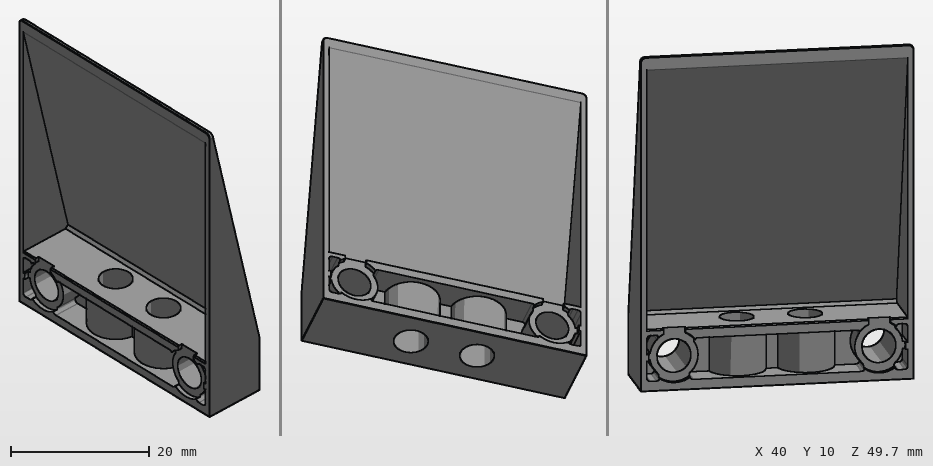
import cadquery as cq
import math

width = 40.0
depth = 10.0
height = 49.7
heel_height = 9.2
top_thickness = 0.6
top_corner_radius = 0.75
edge_chamfer = 0.075
side_wall = 0.9
panel_thickness = 1.0

shelf_top = 9.2
shelf_front_chamfer = 0.2
cavity_back_chamfer = 0.5

floor_top = 1.5
corner_ceiling = 8.3
middle_ceiling = 7.65
cell_depth = 4.3
cell_fillet = 0.5

post_x = 15.0
post_z = 4.95
post_radius = 3.55
post_bore_radius = 2.5
rib_thickness = 1.05

recess_radius = 3.85
recess_neck_width = 3.25
recess_depth = 0.75

tube_x = 5.0
tube_y = 5.0
tube_radius = 4.2
tube_bore_radius = 2.5

inner_half_width = width / 2 - side_wall
lean = (depth - top_thickness) / (height - heel_height)
panel_run = panel_thickness * math.hypot(1, lean)


def block(x_min, x_max, y_max, z_min, z_max):
    """Box that starts at the front plane Y = 0."""
    box = cq.Workplane("XY").box(x_max - x_min, y_max, z_max - z_min, centered=False)
    return box.translate((x_min, 0, z_min))


def front_cylinder(x, z, radius, length):
    """Cylinder that starts at the front plane and runs along +Y."""
    return cq.Workplane("XZ").center(x, z).circle(radius).extrude(-length)


def upright_cylinder(x, y, radius):
    """Cylinder from the bottom plane up to the shelf top."""
    return cq.Workplane("XY").center(x, y).circle(radius).extrude(shelf_top)


def side_profile(points, half_width):
    """Prism of a (Y, Z) outline, centred across the width."""
    return cq.Workplane("YZ").polyline(points).close().extrude(half_width, both=True)


def wedge():
    outline = [
        (0, 0),
        (depth, 0),
        (depth, heel_height),
        (top_thickness, height),
        (0, height),
    ]
    body = side_profile(outline, width / 2)
    body = body.edges("|Y and >Z").fillet(top_corner_radius)
    return body.faces("<X or >X or <Z").edges().chamfer(edge_chamfer)


def upper_cavity():
    """Cavity whose back is parallel to the leaning outer face."""
    chamfer_top = shelf_top + cavity_back_chamfer
    panel_foot = top_thickness + lean * (height - chamfer_top) - panel_run
    tip_height = height - (panel_run - top_thickness) / lean
    outline = [
        (0, shelf_top),
        (panel_foot - cavity_back_chamfer, shelf_top),
        (panel_foot, chamfer_top),
        (0, tip_height),
    ]
    return side_profile(outline, inner_half_width)


def shelf_front_edge():
    outline = [
        (0, shelf_top),
        (shelf_front_chamfer, shelf_top),
        (0, shelf_top - shelf_front_chamfer),
    ]
    return side_profile(outline, inner_half_width)


def post(sign):
    return front_cylinder(sign * post_x, post_z, post_radius, depth)


def middle_cell():
    """Cell between the posts, leaving the two tubes standing."""
    cell = block(-post_x, post_x, cell_depth, floor_top, middle_ceiling)
    cell = cell.cut(post(-1)).cut(post(1))
    cell = cell.edges("|Y and (>Z or <Z)").fillet(cell_fillet)
    for sign in (-1, 1):
        cell = cell.cut(upright_cylinder(sign * tube_x, tube_y, tube_radius))
    return cell


def left_corner_cells():
    """Two small cells beside the left post, above and below its rib."""
    cells = block(-inner_half_width, -post_x, cell_depth, floor_top, corner_ceiling)
    rib_bottom = post_z - rib_thickness / 2
    rib = block(-inner_half_width, -post_x, cell_depth, rib_bottom, rib_bottom + rib_thickness)
    cells = cells.cut(post(-1)).cut(rib)
    return cells.edges("|Y and (>Z or <Z)").fillet(cell_fillet)


def post_recess(sign):
    x = sign * post_x
    half_neck = recess_neck_width / 2
    neck = block(x - half_neck, x + half_neck, recess_depth, post_z, shelf_top)
    return front_cylinder(x, post_z, recess_radius, recess_depth).union(neck)


corner_cells = left_corner_cells()

result = wedge().cut(upper_cavity()).cut(shelf_front_edge())
result = result.cut(middle_cell()).cut(corner_cells).cut(corner_cells.mirror("YZ"))

for sign in (-1, 1):
    result = result.cut(post_recess(sign))
    result = result.cut(front_cylinder(sign * post_x, post_z, post_bore_radius, depth))
    result = result.cut(upright_cylinder(sign * tube_x, tube_y, tube_bore_radius))